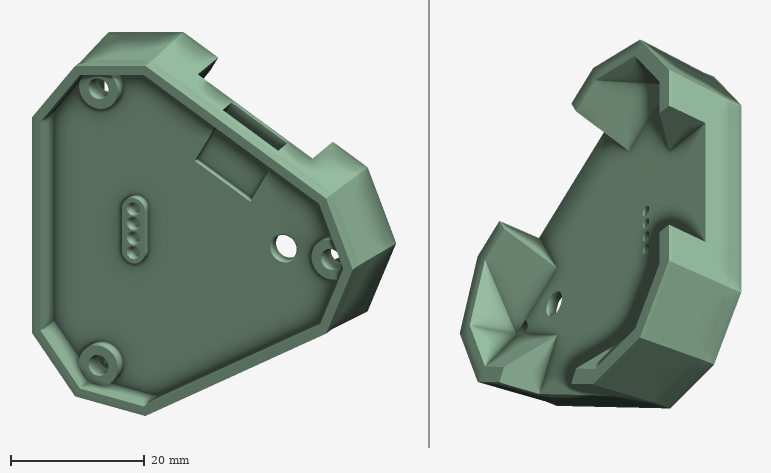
import cadquery as cq
import math


half_sector = 60
corner_angles = (0, 2 * half_sector, 4 * half_sector)
long_side_angles = tuple(angle + half_sector for angle in corner_angles)

overall_x = 54.45
overall_y = 14.0
overall_z = 57.5

long_side_distance = 23.2
corner_radius = overall_x - long_side_distance
long_side_half_length = overall_z - 2 * long_side_distance * math.sin(math.radians(half_sector))

front_band = 2.0
back_band = 0.5
taper_inset = 1.0
wall_inset = 2.4

cavity_depth = 5.1
back_pocket_depth = 7.1
back_pocket_floor_y = overall_y - back_pocket_depth
pocket_triangle_distance = 13.3

notch_width = 21.6

boss_center_radius = 25.3
boss_diameter = 6.3
boss_hole_diameter = 3.3
boss_height = 2.0

pad_x = -7.2
pad_width = 3.75
pad_length = 10.35
pad_height = 1.5
pin_hole_count = 4
pin_hole_pitch = 2.3
pin_hole_diameter = 1.65

round_hole_x = 16.75
round_hole_diameter = 4.0

hole_chamfer = 0.25

connector_offset = -1.2
connector_width = 10.45
connector_length = 9.4
connector_front_y = 3.05
connector_back_y = 6.15


def polar(radius, angle):
    """X, Z position at an angle measured from +X towards +Z."""
    return (radius * math.cos(math.radians(angle)), radius * math.sin(math.radians(angle)))


def outline(inset):
    """Corner by corner (shoulder, tip, shoulder) of the outline moved inwards by inset."""
    shoulder_radius = math.hypot(long_side_distance, long_side_half_length)
    shoulder_angle = half_sector - math.degrees(math.atan2(long_side_half_length, long_side_distance))
    shoulder_x, shoulder_z = polar(shoulder_radius, shoulder_angle)
    tip_side_angle = math.atan2(corner_radius - shoulder_x, shoulder_z)
    half_turn = (math.radians(half_sector) - tip_side_angle) / 2

    side_distance = long_side_distance - inset
    half_length = long_side_half_length - inset * math.tan(half_turn)
    tip_radius = corner_radius - inset / math.cos(tip_side_angle)
    inset_radius = math.hypot(side_distance, half_length)
    inset_angle = half_sector - math.degrees(math.atan2(half_length, side_distance))

    points = []
    for angle in corner_angles:
        points.append(polar(inset_radius, angle - inset_angle))
        points.append(polar(tip_radius, angle))
        points.append(polar(inset_radius, angle + inset_angle))
    return points


def plane_at(y):
    """Workplane at depth y with local axes X and Z; a negative extrusion goes towards +Y."""
    return cq.Workplane("XZ", origin=(0, y, 0))


def prism(points, y_start, y_end):
    return plane_at(y_start).polyline(points).close().extrude(y_start - y_end)


def cylinder(centers, diameter, y_start, y_end):
    return plane_at(y_start).pushPoints(centers).circle(diameter / 2).extrude(y_start - y_end)


def side_box(angle, offset, width, inner_distance, y_start, y_end):
    """Box reaching outwards through the side facing angle, shifted along that side by offset."""
    length = overall_x - inner_distance
    depth = y_end - y_start
    box = cq.Workplane("XY").box(length, depth, width)
    box = box.translate((inner_distance + length / 2, y_start + depth / 2, offset))
    return box.rotate((0, 0, 0), (0, 1, 0), -angle)


def outer_body():
    front_outline = outline(taper_inset)
    back_outline = outline(0)
    taper_end = overall_y - back_band
    taper = (
        plane_at(front_band).polyline(front_outline).close()
        .workplane(offset=front_band - taper_end).polyline(back_outline).close()
        .loft(ruled=True)
    )
    body = prism(front_outline, 0, front_band).union(taper)
    return body.union(prism(back_outline, taper_end, overall_y))


def back_pocket():
    """Pocket with flat walls widening from a triangular floor to the nine-sided rim."""
    triangle = [polar(2 * pocket_triangle_distance, angle) for angle in corner_angles]
    floor = [cq.Vector(x, back_pocket_floor_y, z) for x, z in triangle]
    rim = [cq.Vector(x, overall_y, z) for x, z in outline(wall_inset)]
    loops = [floor, rim]
    for i, floor_corner in enumerate(floor):
        first_shoulder, tip, last_shoulder = rim[3 * i:3 * i + 3]
        next_corner = (i + 1) % len(floor)
        loops.append([floor_corner, first_shoulder, tip])
        loops.append([floor_corner, tip, last_shoulder])
        loops.append([floor_corner, last_shoulder, rim[3 * next_corner], floor[next_corner]])
    faces = [cq.Face.makeFromWires(cq.Wire.makePolygon(loop, close=True)) for loop in loops]
    return cq.Workplane(cq.Solid.makeSolid(cq.Shell.makeShell(faces)).fix())


def chamfered_holes(centers, diameter, y_start):
    """Holes through the floor with a conical entry at y_start."""
    holes = cylinder(centers, diameter, y_start, overall_y)
    for x, z in centers:
        cone = cq.Solid.makeCone(
            diameter / 2 + hole_chamfer, diameter / 2, hole_chamfer,
            cq.Vector(x, y_start, z), cq.Vector(0, 1, 0),
        )
        holes = holes.union(cq.Workplane(cone))
    return holes


housing = outer_body().cut(prism(outline(wall_inset), 0, cavity_depth))

boss_centers = [polar(boss_center_radius, angle) for angle in corner_angles]
pad_front_y = cavity_depth - pad_height
boss_front_y = cavity_depth - boss_height
housing = housing.union(cylinder(boss_centers, boss_diameter, boss_front_y, back_pocket_floor_y))
pad = plane_at(pad_front_y).center(pad_x, 0).slot2D(pad_length, pad_width, 90).extrude(-pad_height)
housing = housing.union(pad)

housing = housing.cut(back_pocket())
for side_angle in long_side_angles:
    notch = side_box(side_angle, 0, notch_width, pocket_triangle_distance, back_pocket_floor_y, overall_y)
    housing = housing.cut(notch)

connector_inner_distance = long_side_distance - wall_inset - connector_length
housing = housing.cut(side_box(
    long_side_angles[0], connector_offset, connector_width,
    connector_inner_distance, connector_front_y, connector_back_y,
))

pin_row_start = -(pin_hole_count - 1) * pin_hole_pitch / 2
pin_centers = [(pad_x, pin_row_start + i * pin_hole_pitch) for i in range(pin_hole_count)]
housing = housing.cut(cylinder(boss_centers, boss_hole_diameter, 0, back_pocket_floor_y))
housing = housing.cut(chamfered_holes(pin_centers, pin_hole_diameter, pad_front_y))
housing = housing.cut(chamfered_holes([(round_hole_x, 0)], round_hole_diameter, cavity_depth))

result = housing